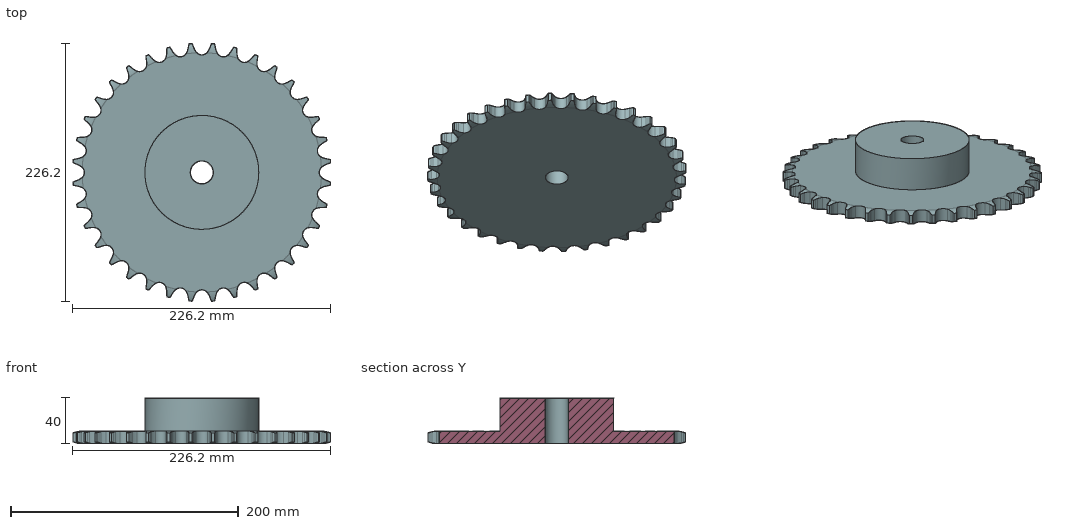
import cadquery as cq
import math

overall_width = 226.2
tooth_count = 36
plate_thickness = 11.0
overall_height = 40.0
hub_diameter = 100.0
bore_diameter = 20.0

pitch_radius = 109.2
seat_radius = 6.0
seat_angle = 53.3
flank_radius = 15.8
flank_angle = 16.4
straight_length = 1.7
topping_radius = 10.0

face_radius = 105.0
side_drop = 1.7

half_pitch_angle = 180 / tooth_count


def polar(radius, angle):
    """Point at a radius and an angle in degrees."""
    turn = math.radians(angle)
    return (radius * math.cos(turn), radius * math.sin(turn))


def offset(point, distance, angle):
    """Point moved by a distance in a direction in degrees."""
    step_x, step_y = polar(distance, angle)
    return (point[0] + step_x, point[1] + step_y)


def half_gap_points():
    """Points from the bottom of a gap on +X to the tooth tip on its +Y side.

    They outline a seat arc, a flank arc, a straight line and a topping arc.
    The flank and topping arcs are given by their start, middle and end.
    """
    seat_centre = (pitch_radius, 0)
    root = offset(seat_centre, seat_radius, 180)
    seat_end_angle = 180 - seat_angle
    seat_end = offset(seat_centre, seat_radius, seat_end_angle)

    flank_centre = offset(seat_end, -flank_radius, seat_end_angle)
    flank_end_angle = seat_end_angle - flank_angle
    flank_middle = offset(flank_centre, flank_radius, seat_end_angle - flank_angle / 2)
    flank_end = offset(flank_centre, flank_radius, flank_end_angle)

    straight_end = offset(flank_end, straight_length, flank_end_angle - 90)

    topping_centre = offset(straight_end, topping_radius, flank_end_angle)
    corner_x = overall_width / 2
    corner_depth = corner_x - topping_centre[0]
    tip_corner = (corner_x, topping_centre[1] - math.sqrt(topping_radius**2 - corner_depth**2))
    topping_start_angle = flank_end_angle - 180
    topping_end_angle = math.degrees(math.asin(corner_depth / topping_radius)) - 90
    topping_middle_angle = (topping_start_angle + topping_end_angle) / 2
    topping_middle = offset(topping_centre, topping_radius, topping_middle_angle)

    return [root, seat_end, flank_middle, flank_end, straight_end, topping_middle, tip_corner]


def rotated(points, angle):
    """Points turned about the plate's centre by an angle in degrees."""
    cosine, sine = polar(1, angle)
    return [(x * cosine - y * sine, x * sine + y * cosine) for x, y in points]


def tooth_outline(leaving, tip_radius):
    """Closed outline of the toothed plate, made by repeating and mirroring half a gap."""
    entering = [(x, -y) for x, y in reversed(leaving)]
    outline = cq.Workplane("XY").moveTo(*entering[0])
    for tooth in range(tooth_count):
        angle = 2 * half_pitch_angle * tooth
        _, topping_in, straight_in, flank_start, flank_in, seat_start, root = rotated(entering, angle)
        _, seat_end, flank_out, flank_end, straight_out, topping_out, tip = rotated(leaving, angle)
        next_tip = rotated(entering, angle + 2 * half_pitch_angle)[0]
        outline = (
            outline.threePointArc(topping_in, straight_in)
            .lineTo(*flank_start)
            .threePointArc(flank_in, seat_start)
            .threePointArc(root, seat_end)
            .threePointArc(flank_out, flank_end)
            .lineTo(*straight_out)
            .threePointArc(topping_out, tip)
            .threePointArc(polar(tip_radius, angle + half_pitch_angle), next_tip)
        )
    return outline.close()


def rounded_disc(tip_radius):
    """Disc whose rim curves in on both sides, tangent to the flat faces."""
    rim_depth = tip_radius - face_radius
    curve_radius = (rim_depth**2 + side_drop**2) / (2 * side_drop)
    half_sweep = math.asin(rim_depth / curve_radius) / 2
    middle_radius = face_radius + curve_radius * math.sin(half_sweep)
    middle_drop = curve_radius * (1 - math.cos(half_sweep))
    return (
        cq.Workplane("XZ")
        .lineTo(face_radius, 0)
        .threePointArc((middle_radius, middle_drop), (tip_radius, side_drop))
        .lineTo(tip_radius, plate_thickness - side_drop)
        .threePointArc((middle_radius, plate_thickness - middle_drop), (face_radius, plate_thickness))
        .lineTo(0, plate_thickness)
        .close()
        .revolve(360, (0, 0, 0), (0, 1, 0))
    )


half_gap = half_gap_points()
tip_radius = math.hypot(*half_gap[-1])
toothed_blank = tooth_outline(half_gap, tip_radius).extrude(plate_thickness)
toothed_plate = toothed_blank.intersect(rounded_disc(tip_radius))
hub = cq.Workplane("XY").circle(hub_diameter / 2).extrude(overall_height)
bore = cq.Workplane("XY").circle(bore_diameter / 2).extrude(overall_height)

result = toothed_plate.union(hub).cut(bore)